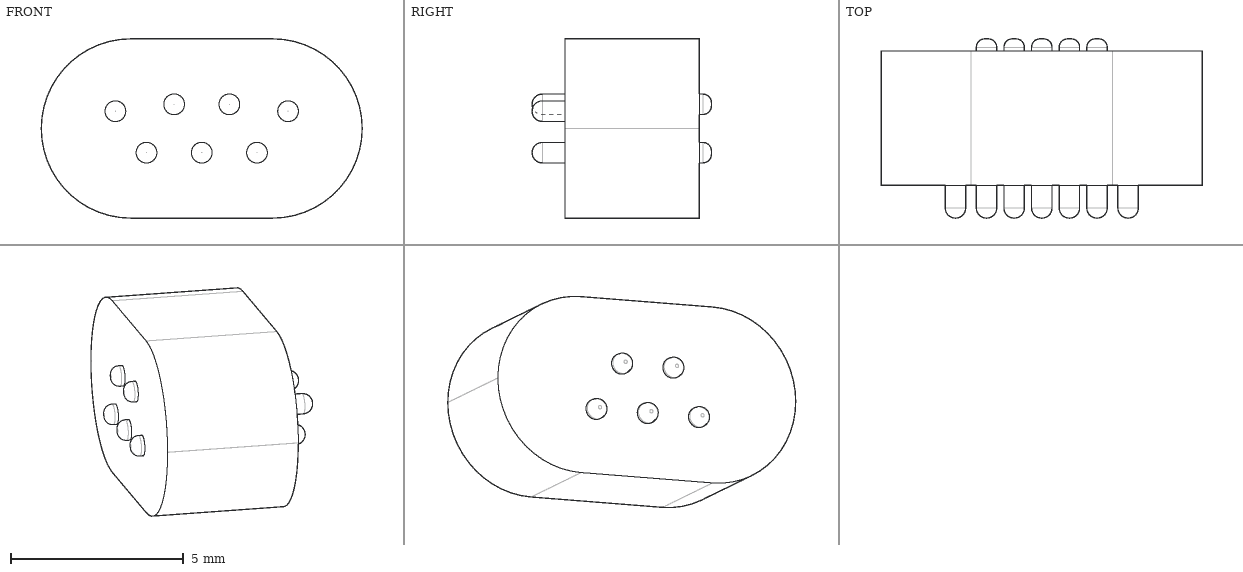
import cadquery as cq

BODY_WIDTH = 9.3
BODY_HEIGHT = 5.2
BODY_DEPTH = 3.9
END_FLAT_HEIGHT = 0.002
CORNER_RADIUS = (BODY_HEIGHT - END_FLAT_HEIGHT) / 2

PIN_DIAMETER = 0.6
PIN_RADIUS = PIN_DIAMETER / 2
FRONT_PROTRUSION = 0.95
REAR_PROTRUSION = 0.35
FRONT_TIP_FLAT_RADIUS = 0.001
REAR_TIP_FLAT_RADIUS = 0.05
FRONT_TIP_ROUND = PIN_RADIUS - FRONT_TIP_FLAT_RADIUS
REAR_TIP_ROUND = PIN_RADIUS - REAR_TIP_FLAT_RADIUS

PIN_PITCH = 1.6
ROW_HEIGHT = 0.7
OUTER_PIN_X = 2.5
OUTER_PIN_Z = 0.5

THROUGH_PINS = [
    (-PIN_PITCH / 2, ROW_HEIGHT),
    (PIN_PITCH / 2, ROW_HEIGHT),
    (-PIN_PITCH, -ROW_HEIGHT),
    (0, -ROW_HEIGHT),
    (PIN_PITCH, -ROW_HEIGHT),
]

FRONT_ONLY_PINS = [
    (-OUTER_PIN_X, OUTER_PIN_Z),
    (OUTER_PIN_X, OUTER_PIN_Z),
]


def make_body():
    """Rounded block centred on the origin."""
    block = cq.Workplane("XY").box(BODY_WIDTH, BODY_DEPTH, BODY_HEIGHT)
    return block.edges("|Y").fillet(CORNER_RADIUS)


def make_half_pins(positions, protrusion, tip_round, direction):
    """Pins from the body's mid plane to a rounded tip; direction is -1 for front, 1 for rear."""
    length = -direction * (BODY_DEPTH / 2 + protrusion)
    tip_face = "<Y" if direction < 0 else ">Y"
    return (
        cq.Workplane("XZ")
        .pushPoints(positions)
        .circle(PIN_RADIUS)
        .extrude(length)
        .faces(tip_face)
        .edges()
        .fillet(tip_round)
    )


body = make_body()
front_pins = make_half_pins(THROUGH_PINS + FRONT_ONLY_PINS, FRONT_PROTRUSION, FRONT_TIP_ROUND, -1)
rear_pins = make_half_pins(THROUGH_PINS, REAR_PROTRUSION, REAR_TIP_ROUND, 1)

result = body.union(front_pins).union(rear_pins)